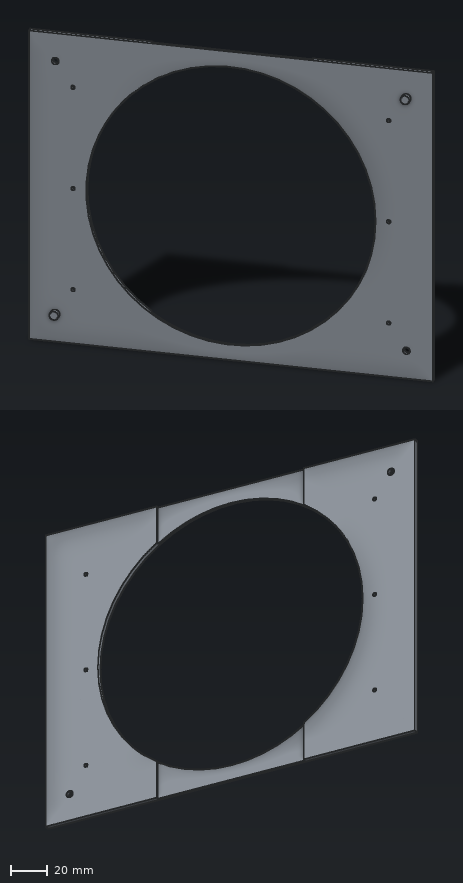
import cadquery as cq

plate_width = 230.0
plate_height = 183.0
plate_thickness = 3.0
window_diameter = 165.0

channel_width = 91.5
channel_depth = 1.4

corner_x = 100.0
corner_z = 75.0
pin_diameter = 5.0
pin_length = 3.0
corner_hole_diameter = 4.0

small_hole_diameter = 2.0
small_hole_x = 90.0
small_hole_pitch = 60.0
small_hole_center_z = 0.5

pin_positions = [(-corner_x, -corner_z), (corner_x, corner_z)]
corner_hole_positions = [(-corner_x, corner_z), (corner_x, -corner_z)]
small_hole_positions = [
    (side * small_hole_x, small_hole_center_z + row * small_hole_pitch)
    for side in (-1, 1)
    for row in (-1, 0, 1)
]


def cylinders(positions, diameter, length):
    """Cylinders at (x, z) positions; positive length runs toward -Y from the front face."""
    return cq.Workplane("XZ").pushPoints(positions).circle(diameter / 2).extrude(length)


def through_holes(positions, diameter):
    return cylinders(positions, diameter, -plate_thickness)


plate = cq.Workplane("XZ").rect(plate_width, plate_height).extrude(-plate_thickness)

channel = (
    cq.Workplane("XZ", origin=(0, plate_thickness, 0))
    .rect(channel_width, plate_height)
    .extrude(channel_depth)
)

result = (
    plate
    .cut(channel)
    .cut(through_holes([(0, 0)], window_diameter))
    .cut(through_holes(corner_hole_positions, corner_hole_diameter))
    .cut(through_holes(small_hole_positions, small_hole_diameter))
    .union(cylinders(pin_positions, pin_diameter, pin_length))
)